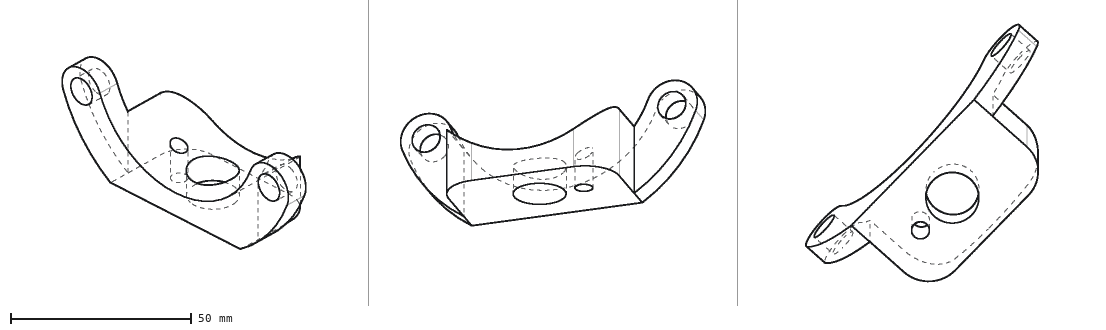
import cadquery as cq
import math

overall_length = 87.0
band_width = 15.0
saddle_radius = 31.0
saddle_center_z = 38.5
flange_thickness = 7.05
ear_hole_diameter = 8.2

block_width = 49.9
total_depth = 30.0
block_corner_radius = 10.0

main_hole_diameter = 14.7
small_hole_diameter = 5.0
small_hole_x = -13.0
vertical_hole_y = 15.05

ear_radius = band_width / 2
outer_radius = saddle_radius + band_width
middle_radius = saddle_radius + ear_radius
ear_x = overall_length / 2 - ear_radius
ear_z = saddle_center_z - math.sqrt(middle_radius**2 - ear_x**2)
ear_angle = math.atan2(ear_z - saddle_center_z, ear_x)
base_half_width = math.sqrt(outer_radius**2 - saddle_center_z**2)
base_angle = math.atan2(-saddle_center_z, base_half_width)


def polar(radius, angle):
    """XZ point at a radius and angle about the saddle axis."""
    return radius * math.cos(angle), saddle_center_z + radius * math.sin(angle)


def mirrored(point):
    return -point[0], point[1]


def extrude_back(sketch, depth):
    """Extrude an XZ sketch from the front face toward +Y."""
    return sketch.extrude(-depth)


def make_band():
    """Curved band running the full depth of the part."""
    outer_end = polar(outer_radius, ear_angle)
    outer_mid = polar(outer_radius, (ear_angle + base_angle) / 2)
    inner_end = polar(saddle_radius, ear_angle)
    saddle_bottom = (0, saddle_center_z - saddle_radius)
    ear_tip = (
        ear_x - ear_radius * math.sin(ear_angle),
        ear_z + ear_radius * math.cos(ear_angle),
    )
    outline = (
        cq.Workplane("XZ")
        .moveTo(-base_half_width, 0)
        .lineTo(base_half_width, 0)
        .threePointArc(outer_mid, outer_end)
        .threePointArc(ear_tip, inner_end)
        .threePointArc(saddle_bottom, mirrored(inner_end))
        .threePointArc(mirrored(ear_tip), mirrored(outer_end))
        .threePointArc(mirrored(outer_mid), (-base_half_width, 0))
        .close()
    )
    return extrude_back(outline, total_depth)


def make_ear_holes():
    ear_centers = [(-ear_x, ear_z), (ear_x, ear_z)]
    holes = cq.Workplane("XZ").pushPoints(ear_centers).circle(ear_hole_diameter / 2)
    return extrude_back(holes, flange_thickness)


def make_footprint():
    """Flange strip, longer than the band, with the narrower round-cornered block behind."""
    strip = cq.Workplane("XY").box(
        2 * overall_length, flange_thickness, saddle_center_z, centered=(True, False, False)
    )
    block = (
        cq.Workplane("XY")
        .box(block_width, total_depth, saddle_center_z, centered=(True, False, False))
        .edges("|Z and >Y")
        .fillet(block_corner_radius)
    )
    return strip.union(block)


def vertical_hole(x, diameter):
    return cq.Workplane("XY").center(x, vertical_hole_y).circle(diameter / 2).extrude(saddle_center_z)


result = make_band().intersect(make_footprint())
result = result.cut(make_ear_holes())
result = result.cut(vertical_hole(0, main_hole_diameter))
result = result.cut(vertical_hole(small_hole_x, small_hole_diameter))